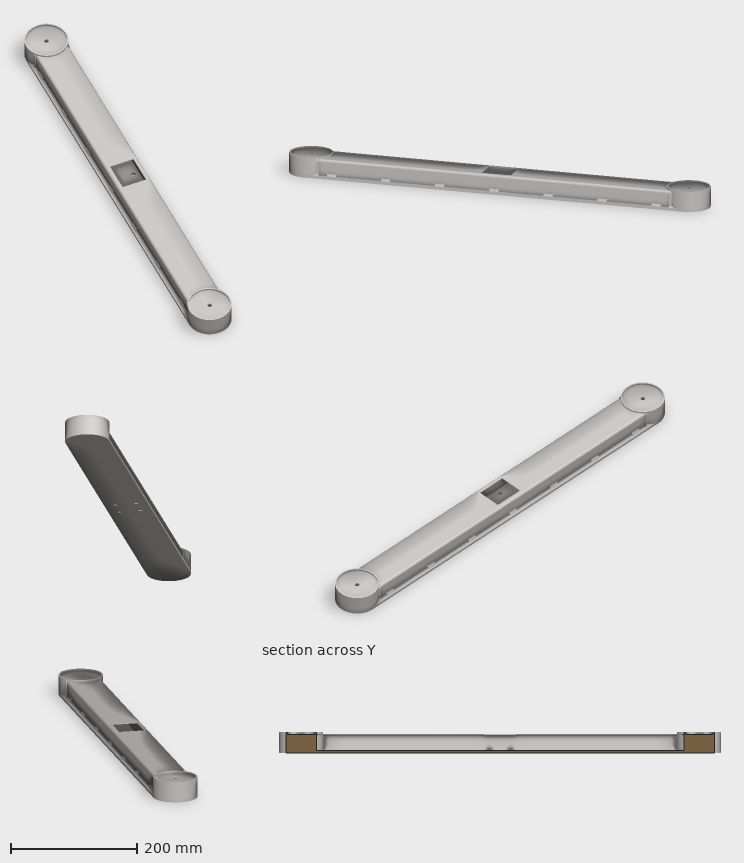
import cadquery as cq

length = 700.0
width = 70.0
height = 33.0
base_thickness = 4.0

end_radius = width / 2
end_x = length / 2 - end_radius
end_rim_width = 2.0
end_recess_depth = 3.0
end_hole_diameter = 7.0
end_hole_depth = 7.0

cover_width = 56.0
cover_top = 30.0
cover_corner_radius = 4.0
cover_wall = 1.5

collar_thickness = 2.0
collar_end_x = length / 2 - 57.5

window_length = 49.0
window_width = 40.5
base_hole_diameter = 6.0
base_hole_pitch = 33.5

foot_count = 7
foot_pitch = 90.0
foot_length = 15.5
foot_reach = 3.5
collar_foot_length = 11.0
collar_foot_reach = 5.0


def cover_section(offset, half_length):
    """Bar along X with rounded top edges, grown outwards by the offset."""
    bar = cq.Workplane("XY").box(
        2 * half_length,
        cover_width + 2 * offset,
        cover_top + offset,
        centered=(True, True, False),
    )
    return bar.edges("|X and >Z").fillet(cover_corner_radius + offset)


def end_housing(x):
    """Solid drum at one end of the base plate."""
    return cq.Workplane("XY").center(x, 0).circle(end_radius).extrude(height)


def sloped_foot(x, size_x, reach, side):
    """45 degree ramp from the base plate up to the cover wall."""
    wall_y = side * cover_width / 2
    inner_y = wall_y - side * cover_wall
    outer_y = wall_y + side * reach
    return (
        cq.Workplane("YZ", origin=(x - size_x / 2, 0, 0))
        .moveTo(inner_y, 0)
        .lineTo(outer_y, 0)
        .lineTo(outer_y, base_thickness)
        .lineTo(wall_y, base_thickness + reach)
        .lineTo(inner_y, base_thickness + reach)
        .close()
        .extrude(size_x)
    )


middle_space = cq.Workplane("XY").box(2 * collar_end_x, 2 * width, 4 * height)
collars = cover_section(collar_thickness, end_x).cut(middle_space)
body = cover_section(0, end_x).union(collars)

first_foot_x = -(foot_count - 1) / 2 * foot_pitch
collar_foot_x = collar_end_x + collar_foot_length / 2
for side in (-1, 1):
    for i in range(foot_count):
        body = body.union(sloped_foot(first_foot_x + i * foot_pitch, foot_length, foot_reach, side))
    for end in (-1, 1):
        body = body.union(sloped_foot(end * collar_foot_x, collar_foot_length, collar_foot_reach, side))

body = body.cut(cover_section(-cover_wall, end_x))
window = cq.Workplane("XY").box(window_length, window_width, 2 * height, centered=(True, True, False))
body = body.cut(window)

body = body.union(cq.Workplane("XY").slot2D(length, width).extrude(base_thickness))
for end in (-1, 1):
    body = body.union(end_housing(end * end_x))

end_floor = height - end_recess_depth
for end in (-1, 1):
    floor_plane = cq.Workplane("XY", origin=(end * end_x, 0, end_floor))
    body = body.cut(floor_plane.circle(end_radius - end_rim_width).extrude(end_recess_depth))
    body = body.cut(floor_plane.circle(end_hole_diameter / 2).extrude(-end_hole_depth))

base_holes = (
    cq.Workplane("XY")
    .rect(base_hole_pitch, base_hole_pitch, forConstruction=True)
    .vertices()
    .circle(base_hole_diameter / 2)
    .extrude(base_thickness)
)
result = body.cut(base_holes)